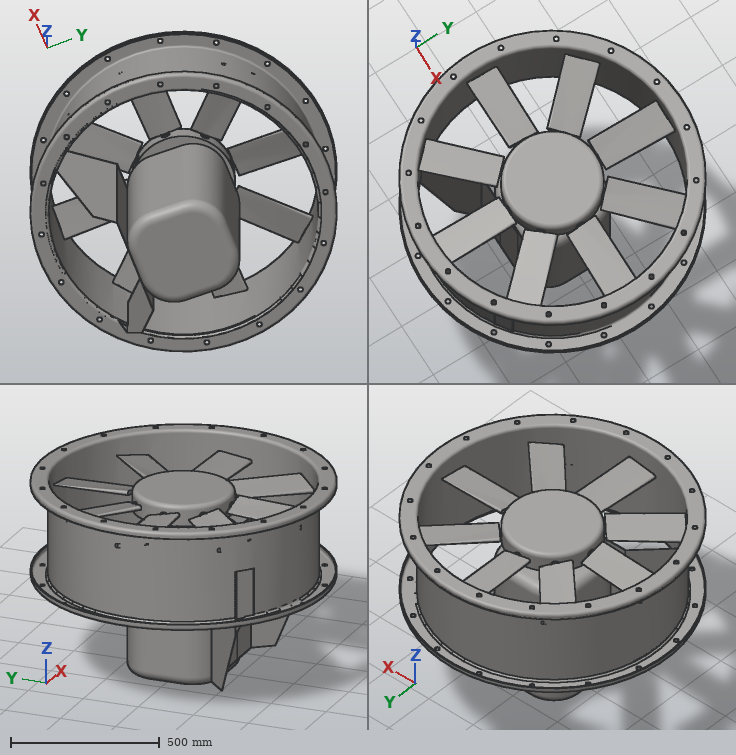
import cadquery as cq
import math


flange_radius = 515.0
casing_height = 352.0
sheet = 4.0
bend_inner_radius = 7.0
bend_outer_radius = bend_inner_radius + sheet
casing_radius = 456.0
bore_radius = casing_radius - sheet
lip_height = 23.0
bolt_count = 16
bolt_circle_radius = 483.0
bolt_hole_diameter = 16.0

total_height = 680.0
motor_width = 345.0
motor_corner_radius = 117.0
motor_edge_radius = 34.0
motor_top_depth = 174.0
shaft_radius = 21.0

hub_radius = 173.0
hub_top_depth = 34.0
hub_bottom_depth = 107.0
hub_edge_radius = 16.0
blade_count = 8
blade_root_radius = 178.0
blade_tip_radius = 449.0
blade_nose_radius = 7.7
blade_tail_radius = 1.5
pin_radius = 14.0
pin_depth = 75.0
root_nose = (52.0, -62.0)
root_tail = (-54.0, -79.0)
tip_nose = (-55.0, -92.0)
tip_tail = (57.0, -70.0)

plate = 1.5
bracket_y = -(motor_width + plate) / 2
bend_x = motor_width / 2
bracket_top_depth = motor_top_depth
bracket_bottom_depth = total_height - motor_edge_radius
leg_end_radius = 457.0
left_leg_angle = 225.0
left_leg_bottom_reach = 92.0
left_leg_wall_depth = 404.0
right_leg_angle = 311.1
right_leg_bottom_reach = 84.0
right_leg_wall_depth = casing_height
tab_sweep = 8.7
tab_bevel_width = 35.0
tab_bottom_depth = casing_height - bend_outer_radius


def polar(radius, angle):
    """Point at the given radius and angle in degrees."""
    return radius * math.cos(math.radians(angle)), radius * math.sin(math.radians(angle))


def flange_end():
    """Curled upper half of the casing, down to mid-height."""
    bore_tangent = bore_radius + bend_outer_radius
    rim_tangent = flange_radius - bend_outer_radius
    lip_inside = flange_radius - sheet
    diagonal = math.sqrt(0.5)
    outer_mid = bend_outer_radius * diagonal
    inner_mid = bend_inner_radius * diagonal
    profile = (
        cq.Workplane("XZ")
        .moveTo(bore_radius, -casing_height / 2)
        .lineTo(bore_radius, -bend_outer_radius)
        .threePointArc((bore_tangent - outer_mid, outer_mid - bend_outer_radius), (bore_tangent, 0))
        .lineTo(rim_tangent, 0)
        .threePointArc(
            (rim_tangent + outer_mid, outer_mid - bend_outer_radius),
            (flange_radius, -bend_outer_radius),
        )
        .lineTo(flange_radius, -lip_height)
        .lineTo(lip_inside, -lip_height)
        .lineTo(lip_inside, -bend_outer_radius)
        .threePointArc((rim_tangent + inner_mid, inner_mid - bend_outer_radius), (rim_tangent, -sheet))
        .lineTo(bore_tangent, -sheet)
        .threePointArc(
            (bore_tangent - inner_mid, inner_mid - bend_outer_radius),
            (casing_radius, -bend_outer_radius),
        )
        .lineTo(casing_radius, -casing_height / 2)
        .close()
    )
    return profile.revolve(360, (0, 0, 0), (0, 1, 0))


def make_casing():
    upper = flange_end()
    lower = upper.mirror("XY", (0, 0, -casing_height / 2))
    bolt_holes = (
        cq.Workplane("XY")
        .polarArray(bolt_circle_radius, 180 / bolt_count, 360, bolt_count)
        .circle(bolt_hole_diameter / 2)
        .extrude(-casing_height)
    )
    return upper.union(lower).cut(bolt_holes)


def make_motor():
    body = (
        cq.Workplane("XY", origin=(0, 0, -total_height))
        .rect(motor_width, motor_width)
        .extrude(total_height - motor_top_depth)
        .edges("|Z")
        .fillet(motor_corner_radius)
        .faces("<Z or >Z")
        .edges()
        .fillet(motor_edge_radius)
    )
    shaft_length = motor_top_depth - hub_top_depth - hub_edge_radius
    shaft = (
        cq.Workplane("XY", origin=(0, 0, -motor_top_depth))
        .circle(shaft_radius)
        .extrude(shaft_length)
    )
    return body.union(shaft)


def make_hub():
    return (
        cq.Workplane("XY", origin=(0, 0, -hub_bottom_depth))
        .circle(hub_radius)
        .extrude(hub_bottom_depth - hub_top_depth)
        .faces(">Z")
        .edges()
        .fillet(hub_edge_radius)
    )


def blade_section(radius, high_end, low_end, high_radius, low_radius):
    """Teardrop wire: two end circles, high and low, joined by their tangents."""
    across = high_end[0] - low_end[0]
    rise = high_end[1] - low_end[1]
    axis = math.degrees(math.atan2(rise, across))
    taper = math.degrees(math.asin((low_radius - high_radius) / math.hypot(across, rise)))

    def on_circle(centre, circle_radius, angle):
        dy, dz = polar(circle_radius, angle)
        return centre[0] + dy, centre[1] + dz

    top_angle = axis + 90 - taper
    bottom_angle = axis - 90 + taper
    return (
        cq.Workplane("YZ", origin=(radius, 0, 0))
        .moveTo(*on_circle(low_end, low_radius, top_angle))
        .lineTo(*on_circle(high_end, high_radius, top_angle))
        .threePointArc(
            on_circle(high_end, high_radius, axis),
            on_circle(high_end, high_radius, bottom_angle),
        )
        .lineTo(*on_circle(low_end, low_radius, bottom_angle))
        .threePointArc(
            on_circle(low_end, low_radius, axis + 180),
            on_circle(low_end, low_radius, top_angle),
        )
        .wire()
        .val()
    )


def make_blade():
    """Blade along +X with its mounting pin; the thick edge changes sides from root to tip."""
    root = blade_section(blade_root_radius, root_nose, root_tail, blade_nose_radius, blade_tail_radius)
    tip = blade_section(blade_tip_radius, tip_tail, tip_nose, blade_tail_radius, blade_nose_radius)
    blade = cq.Workplane(cq.Solid.makeLoft([root, tip], True))
    pin_start = hub_radius / 2
    pin = (
        cq.Workplane("YZ", origin=(pin_start, 0, -pin_depth))
        .circle(pin_radius)
        .extrude(blade_root_radius - pin_start)
    )
    return blade.union(pin)


def make_impeller():
    impeller = make_hub()
    blade = make_blade()
    for index in range(blade_count):
        impeller = impeller.union(blade.rotate((0, 0, 0), (0, 0, 1), index * 360 / blade_count))
    return impeller


def upright_plate(start, end, outline):
    """Vertical plate centred on the line start-end; outline maps its length to (along, depth) points."""
    direction = cq.Vector(end[0] - start[0], end[1] - start[1], 0)
    normal = direction.cross(cq.Vector(0, 0, 1))
    plane = cq.Plane(origin=(start[0], start[1], 0), xDir=direction, normal=normal)
    points = [(along, -depth) for along, depth in outline(direction.Length)]
    return cq.Workplane(plane).polyline(points).close().extrude(plate / 2, both=True)


def make_leg(start_x, end_angle, bottom_reach, wall_depth, tab_direction):
    start = (start_x, bracket_y)
    wall_point = polar(leg_end_radius, end_angle)
    tab_point = polar(leg_end_radius, end_angle + tab_direction * tab_sweep)

    def leg_outline(length):
        return [
            (0, bracket_top_depth),
            (length, bracket_top_depth),
            (length, wall_depth),
            (bottom_reach, bracket_bottom_depth),
            (0, bracket_bottom_depth),
        ]

    def tab_outline(length):
        return [
            (0, bracket_top_depth),
            (length, bracket_top_depth),
            (length, tab_bottom_depth),
            (tab_bevel_width, tab_bottom_depth),
            (0, wall_depth),
        ]

    leg = upright_plate(start, wall_point, leg_outline)
    return leg.union(upright_plate(wall_point, tab_point, tab_outline))


def make_bracket():
    base_height = bracket_bottom_depth - bracket_top_depth
    base_depth = (bracket_top_depth + bracket_bottom_depth) / 2
    base = cq.Workplane("XY").box(2 * bend_x, plate, base_height).translate((0, bracket_y, -base_depth))
    left_leg = make_leg(-bend_x, left_leg_angle, left_leg_bottom_reach, left_leg_wall_depth, 1)
    right_leg = make_leg(bend_x, right_leg_angle, right_leg_bottom_reach, right_leg_wall_depth, -1)
    return base.union(left_leg).union(right_leg)


result = make_casing().union(make_motor()).union(make_impeller()).union(make_bracket())